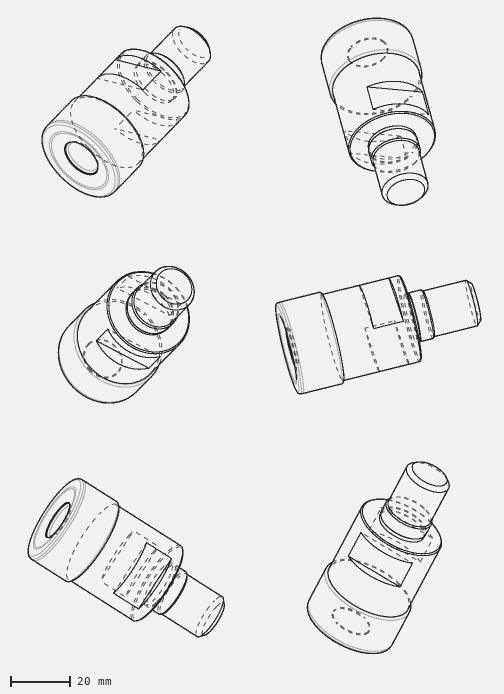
import cadquery as cq
import math

total_length = 66.0

head_radius = 16.0
head_length = 15.8
head_fillet = 0.7
tip_taper_start = 1.5
tip_taper = 0.05
dish_outer_radius = 12.35
dish_rim_radius = 11.6
dish_rim_drop = 0.05
dish_inner_radius = 7.0
dish_depth = 1.3
recess_radius = 6.7
recess_edge_chamfer = dish_inner_radius - recess_radius
recess_fillet = 0.65
recess_depth = 2.3

barrel_radius = 30.0 / 2
barrel_end = 43.0
barrel_chamfer = 0.45
flat_start = 28.7
flat_end = 39.05
across_flats = 22.05
flat_tilt = 20.0

neck_radius = 16.6 / 2
collar_radius = 17.0 / 2
collar_start = 44.3
collar_end = 49.4
collar_chamfer = collar_radius - neck_radius
stud_radius = 16.0 / 2
collar_step = collar_radius - stud_radius
stud_chamfer = 1.5

arc_inset = 1 - math.sqrt(0.5)


def revolve_about_y(profile):
    return profile.close().revolve(360, (0, 0, 0), (0, 1, 0))


def make_head():
    """Rounded disc with a shallow conical dish and a central blind recess."""
    tip_radius = head_radius - tip_taper
    inset = head_fillet * arc_inset
    recess_inset = recess_fillet * arc_inset
    profile = (
        cq.Workplane("XY")
        .moveTo(0, recess_depth)
        .lineTo(recess_radius - recess_fillet, recess_depth)
        .threePointArc(
            (recess_radius - recess_inset, recess_depth - recess_inset),
            (recess_radius, recess_depth - recess_fillet),
        )
        .lineTo(recess_radius, dish_depth + recess_edge_chamfer)
        .lineTo(dish_inner_radius, dish_depth)
        .lineTo(dish_rim_radius, dish_rim_drop)
        .lineTo(dish_outer_radius, 0)
        .lineTo(tip_radius - head_fillet, 0)
        .threePointArc((tip_radius - inset, inset), (tip_radius, head_fillet))
        .lineTo(head_radius, tip_taper_start)
        .lineTo(head_radius, head_length - head_fillet)
        .threePointArc(
            (head_radius - inset, head_length - inset),
            (head_radius - head_fillet, head_length),
        )
        .lineTo(0, head_length)
    )
    return revolve_about_y(profile)


def make_flat_cutter():
    """Two blocks that leave the width across the flats between them."""
    flat_length = flat_end - flat_start
    cutter_size = 2 * barrel_radius
    block_offset = (across_flats + cutter_size) / 2
    blocks = (
        cq.Workplane("XY")
        .box(cutter_size, flat_length, cutter_size)
        .translate((0, (flat_start + flat_end) / 2, block_offset))
    )
    blocks = blocks.union(blocks.mirror("XY"))
    return blocks.rotate((0, 0, 0), (0, 1, 0), -flat_tilt)


def make_barrel():
    """Barrel, neck, collar and stud, turned in one piece."""
    profile = (
        cq.Workplane("XY")
        .moveTo(0, head_length)
        .lineTo(barrel_radius, head_length)
        .lineTo(barrel_radius, barrel_end - barrel_chamfer)
        .lineTo(barrel_radius - barrel_chamfer, barrel_end)
        .lineTo(neck_radius, barrel_end)
        .lineTo(neck_radius, collar_start)
        .lineTo(collar_radius, collar_start + collar_chamfer)
        .lineTo(collar_radius, collar_end - collar_step)
        .lineTo(stud_radius, collar_end)
        .lineTo(stud_radius, total_length - stud_chamfer)
        .lineTo(stud_radius - stud_chamfer, total_length)
        .lineTo(0, total_length)
    )
    return revolve_about_y(profile).cut(make_flat_cutter())


head = make_head()
barrel = make_barrel()

result = cq.Compound.makeCompound([head.val(), barrel.val()])